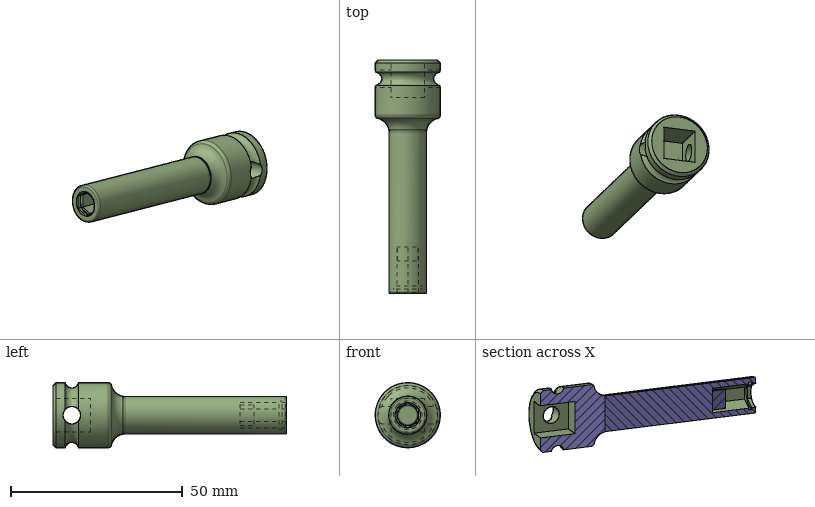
import cadquery as cq
import math

length = 68.0

shank_radius = 5.5
shank_length = 47.5
shank_edge_radius = 0.5
hex_across_flats = 6.3
hex_depth = 13.6
mouth_radius = 3.7
mouth_floor_radius = 3.0
mouth_depth = 0.4
ring_groove_radius = 4.15
ring_groove_start = 1.35
ring_groove_width = 0.9

magnet_radius = 3.0
magnet_edge_radius = 0.3
magnet_thickness = 4.1

head_diameter = 19.0
head_radius = head_diameter / 2
head_chamfer = 0.9
shoulder_radius = 1.0
flare_radius = 4.0
flare_shortening = 0.55
flare_tangent_y = shank_length - flare_shortening
drive_square = 9.65
drive_depth = 10.9

pin_to_drive_end = 5.5
pin_y = length - pin_to_drive_end
pin_hole_diameter = 5.0
groove_radius = 2.0
groove_floor_radius = 7.95


def turned(profile):
    """Revolve a closed (radius, y) profile around the Y axis."""
    return profile.close().revolve(360, (0, 0, 0), (0, 1, 0))


def cylinder_y(radius, start, height):
    """Cylinder on the Y axis from y = start to y = start + height."""
    return cq.Workplane("XZ", origin=(0, start, 0)).circle(radius).extrude(-height)


def make_hex_bore():
    corner_diameter = hex_across_flats / math.cos(math.pi / 6)
    return (
        cq.Workplane("XZ")
        .transformed(rotate=(0, 0, 90))
        .polygon(6, corner_diameter)
        .extrude(-hex_depth)
    )


def make_mouth_countersink():
    return turned(
        cq.Workplane("XY")
        .lineTo(mouth_radius, 0)
        .lineTo(mouth_floor_radius, mouth_depth)
        .lineTo(0, mouth_depth)
    )


def make_shank():
    bar = cylinder_y(shank_radius, 0, shank_length).edges("%CIRCLE").fillet(shank_edge_radius)
    ring_groove = cylinder_y(ring_groove_radius, ring_groove_start, ring_groove_width)
    return bar.cut(make_hex_bore()).cut(make_mouth_countersink()).cut(ring_groove)


def make_magnet():
    disc = cylinder_y(magnet_radius, hex_depth - magnet_thickness, magnet_thickness)
    return disc.faces("<Y").edges().fillet(magnet_edge_radius)


def make_head_blank():
    flare_center_radius = shank_radius + flare_radius
    shoulder_center_radius = head_radius - shoulder_radius
    center_distance = flare_radius + shoulder_radius
    center_drop = flare_center_radius - shoulder_center_radius
    meet_angle = math.asin(center_drop / center_distance)
    shoulder_center_y = flare_tangent_y + center_distance * math.cos(meet_angle)

    def flare_point(angle):
        return (
            flare_center_radius - flare_radius * math.sin(angle),
            flare_tangent_y + flare_radius * math.cos(angle),
        )

    def shoulder_point(angle):
        return (
            shoulder_center_radius + shoulder_radius * math.sin(angle),
            shoulder_center_y - shoulder_radius * math.cos(angle),
        )

    base_angle = math.acos(flare_shortening / flare_radius)
    return turned(
        cq.Workplane("XY")
        .moveTo(0, shank_length)
        .lineTo(*flare_point(base_angle))
        .threePointArc(flare_point((base_angle + meet_angle) / 2), flare_point(meet_angle))
        .threePointArc(shoulder_point((meet_angle + math.pi / 2) / 2), shoulder_point(math.pi / 2))
        .lineTo(head_radius, length - head_chamfer)
        .lineTo(head_radius - head_chamfer, length)
        .lineTo(0, length)
    )


def make_retaining_groove():
    groove_center_radius = groove_floor_radius + groove_radius
    return (
        cq.Workplane("XY")
        .center(groove_center_radius, pin_y)
        .circle(groove_radius)
        .revolve(360, (-groove_center_radius, 0, 0), (-groove_center_radius, 1, 0))
    )


def make_head():
    pin_hole = (
        cq.Workplane("YZ", origin=(0, pin_y, 0))
        .circle(pin_hole_diameter / 2)
        .extrude(head_radius, both=True)
    )
    drive_socket = (
        cq.Workplane("XZ", origin=(0, length, 0))
        .rect(drive_square, drive_square)
        .extrude(drive_depth)
    )
    return make_head_blank().cut(make_retaining_groove()).cut(pin_hole).cut(drive_socket)


shank = make_shank()
magnet = make_magnet()
head = make_head()

result = cq.Compound.makeCompound([head.val(), shank.val(), magnet.val()])